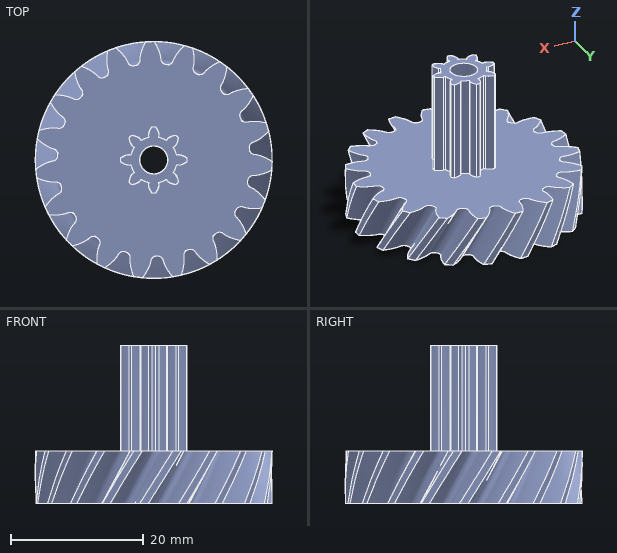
import cadquery as cq
import math

wheel_teeth = 19
wheel_height = 8.0
wheel_tip_radius = 17.95
wheel_flank_start_radius = 15.35
wheel_root_land_half_width = 0.1
dedendum_factor = 1.25
helix_angle = math.radians(30)

pinion_teeth = 8
total_height = 24.0
pinion_tip_radius = 5.03
pinion_flank_start_radius = 3.85
pinion_root_radius = 3.52

normal_pressure_angle = math.radians(20)
flank_steps = 5
bore_diameter = 4.2

wheel_normal_module = wheel_tip_radius / (wheel_teeth / (2 * math.cos(helix_angle)) + 1)
wheel_pitch_radius = wheel_tip_radius - wheel_normal_module
wheel_root_radius = wheel_pitch_radius - dedendum_factor * wheel_normal_module
wheel_pressure_angle = math.atan(math.tan(normal_pressure_angle) / math.cos(helix_angle))
wheel_twist = math.degrees(wheel_height * math.tan(helix_angle) / wheel_pitch_radius)

pinion_module = pinion_tip_radius / (pinion_teeth / 2 + 1)
pinion_pitch_radius = pinion_tip_radius - pinion_module


def polar(radius, angle):
    return (radius * math.cos(angle), radius * math.sin(angle))


def rotated(point, angle):
    x, y = point
    return polar(math.hypot(x, y), math.atan2(y, x) + angle)


def mirrored(points):
    """Reflect points in the X axis and reverse their order."""
    return [(x, -y) for x, y in reversed(points)]


def involute(angle):
    return math.tan(angle) - angle


def involute_flank(teeth, pitch_radius, pressure_angle, start_radius, tip_radius):
    """Points up the +Y flank of a tooth centred on the X axis, from its start to its tip."""
    base_radius = pitch_radius * math.cos(pressure_angle)
    base_half_angle = math.pi / (2 * teeth) + involute(pressure_angle)
    points = []
    for step in range(flank_steps + 1):
        radius = start_radius + (tip_radius - start_radius) * step / flank_steps
        half_angle = base_half_angle - involute(math.acos(base_radius / radius))
        points.append(polar(radius, half_angle))
    return points


def gap_fillet(flank_start):
    """Arc at the +Y side of a gap centred on the X axis: root land end, midpoint, flank start."""
    land_half_angle = wheel_root_land_half_width / wheel_root_radius
    land_x, land_y = polar(wheel_root_radius, land_half_angle)
    rise_x = flank_start[0] - land_x
    rise_y = flank_start[1] - land_y
    radial_rise = rise_x * math.cos(land_half_angle) + rise_y * math.sin(land_half_angle)
    fillet_radius = (rise_x**2 + rise_y**2) / (2 * radial_rise)
    center_x, center_y = polar(wheel_root_radius + fillet_radius, land_half_angle)
    end_angle = math.atan2(flank_start[1] - center_y, flank_start[0] - center_x) % (2 * math.pi)
    middle_x, middle_y = polar(fillet_radius, (land_half_angle + math.pi + end_angle) / 2)
    return [(land_x, land_y), (center_x + middle_x, center_y + middle_y), flank_start]


def add_tooth(outline, rising, falling, tip_radius, angle):
    """Draw both flanks and the tip of a tooth centred at the given angle."""
    rising = [rotated(point, angle) for point in rising]
    falling = [rotated(point, angle) for point in falling]
    return (
        outline.spline(rising[1:], includeCurrent=True)
        .threePointArc(polar(tip_radius, angle), falling[0])
        .spline(falling[1:], includeCurrent=True)
    )


def wheel_outline():
    pitch_angle = 2 * math.pi / wheel_teeth
    flank = involute_flank(
        wheel_teeth,
        wheel_pitch_radius,
        wheel_pressure_angle,
        wheel_flank_start_radius,
        wheel_tip_radius,
    )
    falling = flank[::-1]
    rising = mirrored(falling)
    gap_end = gap_fillet(rotated(rising[0], pitch_angle / 2))
    gap_start = mirrored(gap_end)
    outline = cq.Workplane("XY").moveTo(*rising[0])
    for tooth in range(wheel_teeth):
        tooth_angle = tooth * pitch_angle
        gap_angle = tooth_angle + pitch_angle / 2
        outline = (
            add_tooth(outline, rising, falling, wheel_tip_radius, tooth_angle)
            .threePointArc(rotated(gap_start[1], gap_angle), rotated(gap_start[2], gap_angle))
            .threePointArc(polar(wheel_root_radius, gap_angle), rotated(gap_end[0], gap_angle))
            .threePointArc(rotated(gap_end[1], gap_angle), rotated(gap_end[2], gap_angle))
        )
    return outline.close()


def pinion_outline():
    pitch_angle = 2 * math.pi / pinion_teeth
    flank = involute_flank(
        pinion_teeth,
        pinion_pitch_radius,
        normal_pressure_angle,
        pinion_flank_start_radius,
        pinion_tip_radius,
    )
    falling = flank[::-1]
    rising = mirrored(falling)
    flank_start_angle = math.atan2(flank[0][1], flank[0][0])
    outline = cq.Workplane("XY").moveTo(*rising[0])
    for tooth in range(pinion_teeth):
        tooth_angle = tooth * pitch_angle
        next_tooth_angle = tooth_angle + pitch_angle
        gap_angle = tooth_angle + pitch_angle / 2
        gap_start = polar(pinion_root_radius, tooth_angle + flank_start_angle)
        gap_end = polar(pinion_root_radius, next_tooth_angle - flank_start_angle)
        outline = (
            add_tooth(outline, rising, falling, pinion_tip_radius, tooth_angle)
            .lineTo(*gap_start)
            .threePointArc(polar(pinion_root_radius, gap_angle), gap_end)
            .lineTo(*rotated(rising[0], next_tooth_angle))
        )
    return outline.close()


wheel = wheel_outline().twistExtrude(wheel_height, wheel_twist)
pinion = pinion_outline().extrude(total_height)
bore = cq.Workplane("XY").circle(bore_diameter / 2).extrude(total_height)

result = wheel.union(pinion).cut(bore)